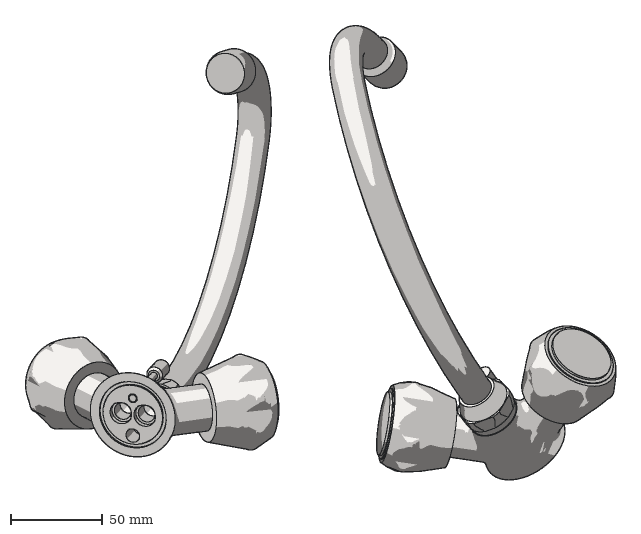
import cadquery as cq
import math

BASE_RADIUS = 24.5
BASE_Z = 2.3
GROOVE_OUTER_RADIUS = 19.2
GROOVE_INNER_RADIUS = 17.1
GROOVE_DEPTH = 1.4

INLET_X = 6.8
INLET_Z = 2.5
INLET_RADIUS = 4.8
INLET_DEPTH = 13.7
COUNTERBORE_RADIUS = 6.2
COUNTERBORE_DEPTH = 3.5
STUD_HOLE_Z = -9.8
STUD_HOLE_RADIUS = 3.9
STUD_HOLE_DEPTH = 13.7
DRILL_TIP_ANGLE = 118.0

SPOUT_Z = -9.0
BODY_LENGTH = 38.4
BODY_END_RADIUS = 14.2
NECK_RADIUS = 13.7
NUT_START_Y = 43.0
NUT_BACK_RADIUS = 14.8
NUT_RIM_START_Y = 49.0
NUT_RIM_RADIUS = 15.8
NUT_RIM_END_Y = 51.1
NUT_FRONT_RADIUS = 14.4
NUT_END_Y = 59.5
NUT_END_RADIUS = 10.7
NUT_FLAT_COUNT = 6
NUT_FLAT_TO_AXIS = 14.5

TUBE_RADIUS = 9.1
SPOUT_REACH = 228.3
SWEEP_RADIUS = 168.3
SWEEP_ANGLE = 65.3
HOOK_RADIUS = 34.7
NOZZLE_TILT = 14.0

NOZZLE_NECK_LENGTH = 6.5
NOZZLE_FLARE_LENGTH = 2.7
NOZZLE_FLARE_RADIUS = 11.0
NOZZLE_LIP_LENGTH = 1.0
NOZZLE_BARREL_LENGTH = 12.0
NOZZLE_TIP_LENGTH = 5.0
NOZZLE_RADIUS = 12.0
NOZZLE_TIP_RADIUS = 11.0
NOZZLE_TIP_MID_RADIUS = 11.9

BRANCH_ANGLE = 38.6
BRANCH_ORIGIN_Y = 3.7
BRANCH_RADIUS = 13.0
BRANCH_START = 12.5
BRANCH_FILLET = 3.5
HANDLE_START = 40.6
HANDLE_LENGTH = 35.2
HANDLE_BACK_RADIUS = 19.2
HANDLE_PEAK_RADIUS = 26.5
HANDLE_PEAK_LENGTH = 24.2
HANDLE_CROWN_LENGTH = 2.7
HANDLE_CROWN_DROP = 1.0
HANDLE_END_RADIUS = 21.5
CAP_RIM_RADIUS = 19.6
CAP_RIM_HEIGHT = 0.7
CAP_RADIUS = 17.5
CAP_HEIGHT = 2.0
CAP_DOME_HEIGHT = 1.1
SCALLOP_COUNT = 8
SCALLOP_RADIUS = 23.7
SCALLOP_FLOOR_RADIUS = 23.3
SCALLOP_FILLET = 1.8

ROD_Z = 11.9
ROD_RADIUS = 2.0
ROD_HOLE_RADIUS = 2.5
GRIP_START_Y = 38.1
GRIP_END_Y = 52.0
GRIP_RADIUS = 4.5
GRIP_CHAMFER = 1.4


def y_cylinder(radius, start_y, end_y, x=0.0, z=0.0):
    """Cylinder along +Y."""
    axis_start = cq.Vector(x, start_y, z)
    return cq.Workplane(cq.Solid.makeCylinder(radius, end_y - start_y, axis_start, cq.Vector(0, 1, 0)))


def drilled_hole(radius, depth, x, z):
    """Hole cutter going +Y from the mounting face, with a conical drill tip."""
    tip_length = radius / math.tan(math.radians(DRILL_TIP_ANGLE / 2))
    tip = cq.Solid.makeCone(radius, 0, tip_length, cq.Vector(x, depth, z), cq.Vector(0, 1, 0))
    return y_cylinder(radius, 0, depth, x, z).union(cq.Workplane(tip))


def tapered_body():
    """Oblique cone from the mounting face to the collar."""
    start = cq.Wire.makeCircle(BASE_RADIUS, cq.Vector(0, 0, BASE_Z), cq.Vector(0, 1, 0))
    end = cq.Wire.makeCircle(BODY_END_RADIUS, cq.Vector(0, BODY_LENGTH, SPOUT_Z), cq.Vector(0, 1, 0))
    return cq.Workplane(cq.Solid.makeLoft([start, end], True))


def collar_and_nut():
    """Turned neck and nut around the spout axis, with flats milled around the nut."""
    axis_plane = cq.Plane(origin=(0, 0, SPOUT_Z), xDir=(1, 0, 0), normal=(0, 0, 1))
    turned = (
        cq.Workplane(axis_plane)
        .moveTo(0, BODY_LENGTH)
        .lineTo(NECK_RADIUS, BODY_LENGTH)
        .lineTo(NECK_RADIUS, NUT_START_Y)
        .lineTo(NUT_BACK_RADIUS, NUT_START_Y)
        .lineTo(NUT_RIM_RADIUS, NUT_RIM_START_Y)
        .lineTo(NUT_RIM_RADIUS, NUT_RIM_END_Y)
        .lineTo(NUT_FRONT_RADIUS, NUT_RIM_END_Y)
        .lineTo(NUT_END_RADIUS, NUT_END_Y)
        .lineTo(0, NUT_END_Y)
        .close()
        .revolve(360, (0, 0, 0), (0, 1, 0))
    )
    corner_diameter = 2 * NUT_FLAT_TO_AXIS / math.cos(math.pi / NUT_FLAT_COUNT)
    section_plane = cq.Plane(origin=(0, BODY_LENGTH, SPOUT_Z), xDir=(1, 0, 0), normal=(0, 1, 0))
    envelope = (
        cq.Workplane(section_plane)
        .polygon(NUT_FLAT_COUNT, corner_diameter)
        .extrude(NUT_END_Y - BODY_LENGTH)
    )
    return turned.intersect(envelope)


def spout():
    """Swept tube in the plane X = 0, ending in a turned nozzle."""
    sweep = math.radians(SWEEP_ANGLE)
    tilt = math.radians(NOZZLE_TILT)
    hook_y = SPOUT_REACH - TUBE_RADIUS - HOOK_RADIUS
    joint_y = hook_y + HOOK_RADIUS * math.sin(sweep)
    joint_z = SPOUT_Z + SWEEP_RADIUS * (1 - math.cos(sweep))
    hook_z = joint_z + HOOK_RADIUS * math.cos(sweep)
    bend_start_y = joint_y - SWEEP_RADIUS * math.sin(sweep)
    half_sweep_y = bend_start_y + SWEEP_RADIUS * math.sin(sweep / 2)
    half_sweep_z = SPOUT_Z + SWEEP_RADIUS * (1 - math.cos(sweep / 2))
    hook_end_y = hook_y + HOOK_RADIUS * math.sin(tilt)
    hook_end_z = hook_z + HOOK_RADIUS * math.cos(tilt)

    path = (
        cq.Workplane("YZ")
        .moveTo(NUT_END_Y, SPOUT_Z)
        .lineTo(bend_start_y, SPOUT_Z)
        .threePointArc((half_sweep_y, half_sweep_z), (joint_y, joint_z))
        .threePointArc((hook_y + HOOK_RADIUS, hook_z), (hook_end_y, hook_end_z))
    )
    tube_start = cq.Plane(origin=(0, NUT_END_Y, SPOUT_Z), xDir=(1, 0, 0), normal=(0, 1, 0))
    tube = cq.Workplane(tube_start).circle(TUBE_RADIUS).sweep(path)

    flare_end = NOZZLE_NECK_LENGTH + NOZZLE_FLARE_LENGTH
    lip_end = flare_end + NOZZLE_LIP_LENGTH
    barrel_end = lip_end + NOZZLE_BARREL_LENGTH
    tip_end = barrel_end + NOZZLE_TIP_LENGTH
    nozzle_plane = cq.Plane(
        origin=(0, hook_end_y, hook_end_z),
        xDir=(0, -math.cos(tilt), math.sin(tilt)),
        normal=(1, 0, 0),
    )
    nozzle = (
        cq.Workplane(nozzle_plane)
        .lineTo(0, TUBE_RADIUS)
        .lineTo(NOZZLE_NECK_LENGTH, TUBE_RADIUS)
        .lineTo(flare_end, NOZZLE_FLARE_RADIUS)
        .lineTo(lip_end, NOZZLE_RADIUS)
        .lineTo(barrel_end, NOZZLE_RADIUS)
        .threePointArc(
            (barrel_end + NOZZLE_TIP_LENGTH / 2, NOZZLE_TIP_MID_RADIUS),
            (tip_end, NOZZLE_TIP_RADIUS),
        )
        .lineTo(tip_end, 0)
        .close()
        .revolve(360, (0, 0, 0), (1, 0, 0))
    )
    return tube.union(nozzle)


def branch_direction():
    """Unit vector of the +X branch, pointing away from the body."""
    angle = math.radians(BRANCH_ANGLE)
    return cq.Vector(math.cos(angle), math.sin(angle), 0)


def branch():
    """Cylindrical valve stem housing on the +X side."""
    axis = branch_direction()
    start = cq.Vector(0, BRANCH_ORIGIN_Y, 0) + axis * BRANCH_START
    return cq.Workplane(cq.Solid.makeCylinder(BRANCH_RADIUS, HANDLE_START - BRANCH_START, start, axis))


def branched_body():
    """Tapered body with both branches, blended where they meet."""
    right_branch = branch()
    body = tapered_body().union(right_branch).union(right_branch.mirror("YZ"))
    return body.edges("%BSPLINE").fillet(BRANCH_FILLET)


def handle():
    """Turned handle with a domed cap and scalloped finger grips, on the +X side."""
    axis = branch_direction()
    start = cq.Vector(0, BRANCH_ORIGIN_Y, 0) + axis * HANDLE_START
    profile_plane = cq.Plane(origin=start, xDir=axis, normal=axis.cross(cq.Vector(0, 0, 1)))
    crown_radius = HANDLE_PEAK_RADIUS - HANDLE_CROWN_DROP
    cap_rim_end = HANDLE_LENGTH + CAP_RIM_HEIGHT
    cap_end = HANDLE_LENGTH + CAP_HEIGHT
    cap_top = cap_end + CAP_DOME_HEIGHT
    dome_radius = (CAP_RADIUS**2 + CAP_DOME_HEIGHT**2) / (2 * CAP_DOME_HEIGHT)
    dome_mid_x = cap_top - dome_radius + math.sqrt(dome_radius**2 - (CAP_RADIUS / 2) ** 2)
    knob = (
        cq.Workplane(profile_plane)
        .lineTo(0, HANDLE_BACK_RADIUS)
        .lineTo(HANDLE_PEAK_LENGTH - HANDLE_CROWN_LENGTH, crown_radius)
        .threePointArc(
            (HANDLE_PEAK_LENGTH, HANDLE_PEAK_RADIUS),
            (HANDLE_PEAK_LENGTH + HANDLE_CROWN_LENGTH, crown_radius),
        )
        .lineTo(HANDLE_LENGTH, HANDLE_END_RADIUS)
        .lineTo(HANDLE_LENGTH, CAP_RIM_RADIUS)
        .lineTo(cap_rim_end, CAP_RIM_RADIUS)
        .lineTo(cap_rim_end, CAP_RADIUS)
        .lineTo(cap_end, CAP_RADIUS)
        .threePointArc((dome_mid_x, CAP_RADIUS / 2), (cap_top, 0))
        .close()
        .revolve(360, (0, 0, 0), (1, 0, 0))
    )
    section_plane = cq.Plane(origin=start, xDir=(0, 0, 1), normal=axis)
    scallops = (
        cq.Workplane(section_plane)
        .polarArray(SCALLOP_FLOOR_RADIUS + SCALLOP_RADIUS, 0, 360, SCALLOP_COUNT)
        .circle(SCALLOP_RADIUS)
        .extrude(HANDLE_LENGTH, combine=False)
    )
    for scallop in scallops.vals():
        knob = knob.cut(cq.Workplane(scallop))
    return knob.edges("not(%CIRCLE or %LINE)").fillet(SCALLOP_FILLET)


def faucet():
    """Body, branches, handles, nut and spout as one solid, then the cuts in the mounting face."""
    body = branched_body()
    body = body.union(collar_and_nut()).union(spout())
    right_handle = handle()
    body = body.union(right_handle).union(right_handle.mirror("YZ"))

    groove = y_cylinder(GROOVE_OUTER_RADIUS, 0, GROOVE_DEPTH, z=BASE_Z).cut(
        y_cylinder(GROOVE_INNER_RADIUS, 0, GROOVE_DEPTH, z=BASE_Z)
    )
    body = body.cut(groove)
    for inlet_x in (-INLET_X, INLET_X):
        body = body.cut(y_cylinder(COUNTERBORE_RADIUS, 0, COUNTERBORE_DEPTH, inlet_x, INLET_Z))
        body = body.cut(drilled_hole(INLET_RADIUS, INLET_DEPTH, inlet_x, INLET_Z))
    body = body.cut(drilled_hole(STUD_HOLE_RADIUS, STUD_HOLE_DEPTH, 0, STUD_HOLE_Z))
    return body.cut(y_cylinder(ROD_HOLE_RADIUS, 0, BODY_LENGTH, z=ROD_Z))


def waste_rod():
    """Pull rod with a chamfered grip, loose in its hole through the body."""
    grip = y_cylinder(GRIP_RADIUS, GRIP_START_Y, GRIP_END_Y, z=ROD_Z).faces("<Y").chamfer(GRIP_CHAMFER)
    return y_cylinder(ROD_RADIUS, 0, GRIP_START_Y, z=ROD_Z).union(grip)


result = cq.Compound.makeCompound([faucet().val(), waste_rod().val()])